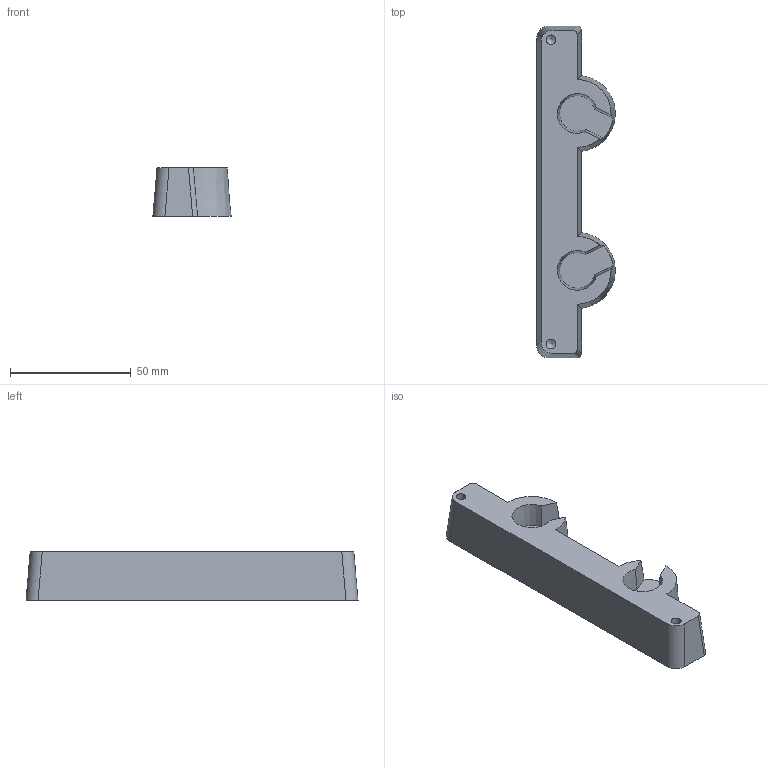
import cadquery as cq
import math

top_length = 134.0
top_width = 15.0
height = 20.0

draft_angle = 5.0
draft_slope = math.tan(math.radians(draft_angle))
wall_inset = height * draft_slope
bar_length = top_length + 2 * wall_inset
bar_width = top_width + 2 * wall_inset

back_corner_radius = 5.0
front_corner_radius = 2.0

holder_spacing = 65.0
holder_x = bar_width - wall_inset
holder_top_radius = 14.0
holder_base_radius = holder_top_radius + wall_inset

pocket_depth = 10.0
pocket_inset = pocket_depth * draft_slope
seat_radius = 8.25
slot_width = 11.0
slot_angle = 25.0
slot_reach = 2 * holder_base_radius

screw_hole_diameter = 4.0
screw_hole_radius = screw_hole_diameter / 2
screw_back_distance = 4.12
screw_end_distance = 4.0
screw_x = wall_inset + screw_back_distance
screw_hole_depth = 10.0
drill_tip_angle = 118.0
drill_tip_depth = screw_hole_radius / math.tan(math.radians(drill_tip_angle / 2))


def cone_frustum(bottom_radius, top_radius, frustum_height):
    """Upright cone frustum standing on the XY plane at the origin."""
    return cq.Workplane("XY").add(
        cq.Solid.makeCone(bottom_radius, top_radius, frustum_height)
    )


def upright_edges(start_x):
    """Select the corner edges in the half of the bar that begins at start_x."""
    return cq.selectors.BoxSelector(
        (start_x, -bar_length, height / 4),
        (start_x + bar_width / 2, bar_length, 3 * height / 4),
    )


def make_bar():
    """Drafted bar with its back face on X = 0 and rounded vertical corners."""
    bar = (
        cq.Workplane("XY")
        .center(bar_width / 2, 0)
        .rect(bar_width, bar_length)
        .extrude(height, taper=draft_angle)
    )
    bar = bar.edges(upright_edges(0)).fillet(back_corner_radius)
    return bar.edges(upright_edges(bar_width / 2)).fillet(front_corner_radius)


def make_pocket():
    """Keyhole cutter at the origin, its slot pointing along +X."""
    seat = cone_frustum(seat_radius - pocket_inset, seat_radius, pocket_depth)
    slot = (
        cq.Workplane("YZ")
        .polyline([
            (-slot_width / 2 + pocket_inset, 0),
            (slot_width / 2 - pocket_inset, 0),
            (slot_width / 2, pocket_depth),
            (-slot_width / 2, pocket_depth),
        ])
        .close()
        .extrude(slot_reach)
    )
    return seat.union(slot)


def make_screw_hole():
    """Blind hole cutter with a conical bottom, its mouth at the origin."""
    return (
        cq.Workplane("XZ")
        .polyline([
            (0, 0),
            (screw_hole_radius, 0),
            (screw_hole_radius, -screw_hole_depth),
            (0, -screw_hole_depth - drill_tip_depth),
        ])
        .close()
        .revolve(360, (0, 0, 0), (0, 1, 0))
    )


result = make_bar()

for side in (1, -1):
    holder_y = side * holder_spacing / 2
    holder = cone_frustum(holder_base_radius, holder_top_radius, height)
    result = result.union(holder.translate((holder_x, holder_y, 0)))
    pocket = make_pocket().rotate((0, 0, 0), (0, 0, 1), -side * slot_angle)
    result = result.cut(pocket.translate((holder_x, holder_y, height - pocket_depth)))
    screw_y = side * (top_length / 2 - screw_end_distance)
    result = result.cut(make_screw_hole().translate((screw_x, screw_y, height)))